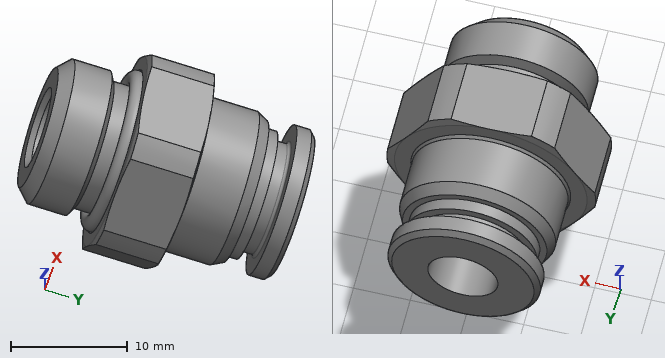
import cadquery as cq
import math

TOTAL_LENGTH = 22.9
THREAD_END = 4.49
RELIEF_START = 4.95
HEX_FRONT = 6.98
HEX_REAR = 13.0
BODY_CHAMFER_START = 17.68
BODY_END = 18.7
COLLAR_END = 19.75
FLANGE_FRONT = 21.11

THREAD_RADIUS = 6.5
RELIEF_RADIUS = 5.7
BODY_RADIUS = 6.9
BODY_END_RADIUS = 6.37
COLLAR_RADIUS = 5.75
BUTTON_NECK_RADIUS = 4.97
FLANGE_RADIUS = 6.73

THREAD_CHAMFER = 1.12
FLANGE_CHAMFER = 0.45
NECK_FILLET = 0.27
BODY_FLARE_LENGTH = 0.27
BODY_FLARE_HEIGHT = 0.15

ACROSS_FLATS = 17.0
CORNER_RADIUS = 9.2
HEX_CHAMFER_LENGTH = 0.18

BORE_RADIUS = 3.1
BORE_CHAMFER = 0.5

SEAL_SECTION_RADIUS = 0.75
SEAL_PROTRUSION = 0.87
SEAL_CENTER_Y = HEX_FRONT - SEAL_PROTRUSION + SEAL_SECTION_RADIUS
SEAL_CENTER_RADIUS = RELIEF_RADIUS + SEAL_SECTION_RADIUS
RECESS_RADIUS = 7.33
RECESS_FLOOR = SEAL_CENTER_Y + SEAL_SECTION_RADIUS


def revolve_about_y(profile):
    """Turn a closed (radius, y) profile a full circle about the Y axis."""
    return profile.revolve(360, (0, 0, 0), (0, 1, 0))


def turned_profile(points):
    """Solid of revolution from its outer (radius, y) points, closed along the axis."""
    outline = [(0, points[0][1])] + points + [(0, points[-1][1])]
    return revolve_about_y(cq.Workplane("XY").polyline(outline).close())


def threaded_end():
    return turned_profile([
        (THREAD_RADIUS - THREAD_CHAMFER, 0),
        (THREAD_RADIUS, THREAD_CHAMFER),
        (THREAD_RADIUS, THREAD_END),
        (RELIEF_RADIUS, RELIEF_START),
        (RELIEF_RADIUS, HEX_REAR),
    ])


def hexagon():
    flat_radius = ACROSS_FLATS / 2
    prism = (
        cq.Workplane("XZ", origin=(0, HEX_REAR, 0))
        .polygon(6, ACROSS_FLATS / math.cos(math.pi / 6))
        .extrude(HEX_REAR - HEX_FRONT)
    )
    corner_envelope = turned_profile([
        (flat_radius, HEX_FRONT),
        (CORNER_RADIUS, HEX_FRONT + HEX_CHAMFER_LENGTH),
        (CORNER_RADIUS, HEX_REAR - HEX_CHAMFER_LENGTH),
        (flat_radius, HEX_REAR),
    ])
    return prism.intersect(corner_envelope)


def seal_recess():
    """Annular recess around the relief diameter."""
    return (
        cq.Workplane("XZ", origin=(0, RECESS_FLOOR, 0))
        .circle(RECESS_RADIUS)
        .circle(RELIEF_RADIUS)
        .extrude(RECESS_FLOOR - HEX_FRONT)
    )


def rear_body():
    """Cylindrical body flaring into the hexagon, with a collar and a flanged button."""
    profile = (
        cq.Workplane("XY")
        .moveTo(0, HEX_REAR)
        .lineTo(BODY_RADIUS + BODY_FLARE_HEIGHT, HEX_REAR)
        .lineTo(BODY_RADIUS, HEX_REAR + BODY_FLARE_LENGTH)
        .lineTo(BODY_RADIUS, BODY_CHAMFER_START)
        .lineTo(BODY_END_RADIUS, BODY_END)
        .lineTo(COLLAR_RADIUS, BODY_END)
        .lineTo(COLLAR_RADIUS, COLLAR_END)
        .lineTo(BUTTON_NECK_RADIUS, COLLAR_END)
        .lineTo(BUTTON_NECK_RADIUS, FLANGE_FRONT - NECK_FILLET)
        .radiusArc((BUTTON_NECK_RADIUS + NECK_FILLET, FLANGE_FRONT), NECK_FILLET)
        .lineTo(FLANGE_RADIUS, FLANGE_FRONT)
        .lineTo(FLANGE_RADIUS, TOTAL_LENGTH - FLANGE_CHAMFER)
        .lineTo(FLANGE_RADIUS - FLANGE_CHAMFER, TOTAL_LENGTH)
        .lineTo(0, TOTAL_LENGTH)
        .close()
    )
    return revolve_about_y(profile)


def bore():
    """Through bore with a chamfered mouth at the threaded end."""
    return turned_profile([
        (BORE_RADIUS + BORE_CHAMFER, 0),
        (BORE_RADIUS, BORE_CHAMFER),
        (BORE_RADIUS, TOTAL_LENGTH),
    ])


def make_housing():
    outside = threaded_end().union(hexagon().cut(seal_recess())).union(rear_body())
    return outside.cut(bore())


def make_seal_ring():
    section = cq.Workplane("XY").center(SEAL_CENTER_RADIUS, SEAL_CENTER_Y).circle(SEAL_SECTION_RADIUS)
    return section.revolve(360, (-SEAL_CENTER_RADIUS, 0, 0), (-SEAL_CENTER_RADIUS, 1, 0))


housing = make_housing()
seal_ring = make_seal_ring()

result = cq.Compound.makeCompound([housing.solids().val(), seal_ring.val()])